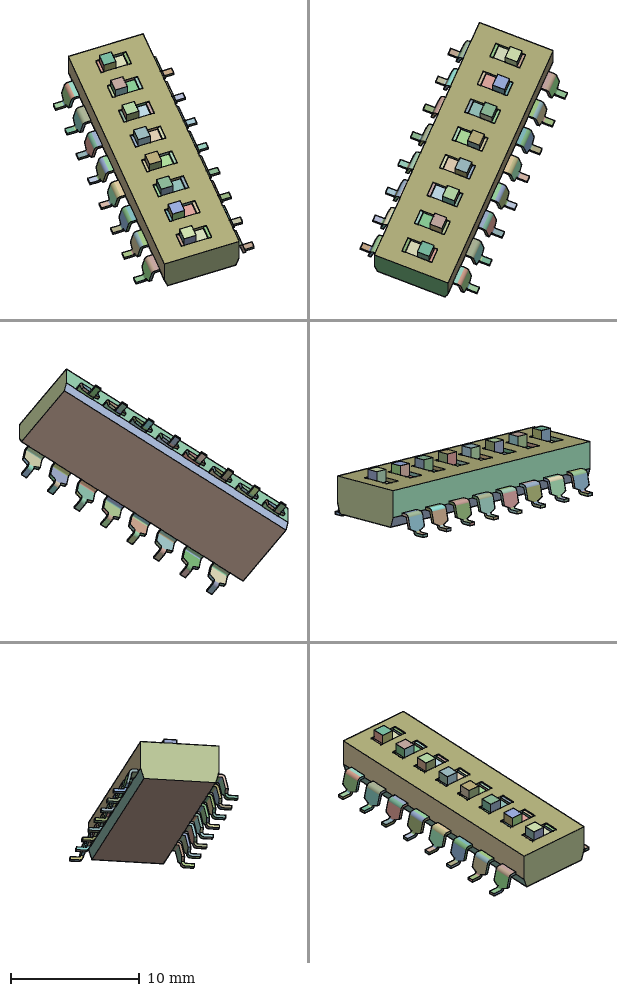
import cadquery as cq
import math


POSITIONS = 8
PITCH = 2.54

LENGTH = 21.26
LEAD_SPAN = 9.8
HEIGHT = 4.4

BODY_WIDTH = 6.2
BODY_BOTTOM = 0.7
BODY_TOP = 3.7
TAPER_TOP = 1.53
TAPER_INSET = 0.27

WINDOW_WIDTH = 1.2
WINDOW_LENGTH = 2.5
LEDGE_DEPTH = 0.1
TRAVEL_DEPTH = 0.3

KNOB_SIZE = 1.0
TRAVEL_LENGTH = 2 * KNOB_SIZE

LEAD_THICKNESS = 0.23
LEAD_TOP = 1.73
LEAD_WIDTH = 1.54
FOOT_WIDTH = 0.5
BEND_INNER = 0.1
BEND_OUTER = BEND_INNER + LEAD_THICKNESS
BEND_START = 3.48
LEG_TILT = 14
NECK_TOP = 0.58
NECK_BOTTOM = 0.34
LEAD_EMBED = 0.2


def position_xs():
    first = -PITCH * (POSITIONS - 1) / 2
    return [first + PITCH * i for i in range(POSITIONS)]


def make_housing():
    """Block whose long sides lean inward below TAPER_TOP."""
    half = BODY_WIDTH / 2
    bottom_half = half - TAPER_INSET
    return (
        cq.Workplane("YZ")
        .moveTo(-bottom_half, BODY_BOTTOM)
        .lineTo(bottom_half, BODY_BOTTOM)
        .lineTo(half, TAPER_TOP)
        .lineTo(half, BODY_TOP)
        .lineTo(-half, BODY_TOP)
        .lineTo(-half, TAPER_TOP)
        .close()
        .extrude(LENGTH / 2, both=True)
    )


def make_pocket(x, length, depth):
    """Cutter for a rectangular pocket in the housing top."""
    return (
        cq.Workplane("XY", origin=(x, 0, BODY_TOP - depth))
        .rect(WINDOW_WIDTH, length)
        .extrude(depth)
    )


def make_knob(x):
    """Square knob rising from the floor of the travel pocket."""
    floor = BODY_TOP - TRAVEL_DEPTH
    return (
        cq.Workplane("XY", origin=(x, -KNOB_SIZE / 2, floor))
        .rect(KNOB_SIZE, KNOB_SIZE)
        .extrude(HEIGHT - floor)
    )


def bend_point(center, radius, degrees):
    """Point on a bend, measured from the outward direction toward +Z."""
    angle = math.radians(degrees)
    return (
        center[0] + radius * math.cos(angle),
        center[1] + radius * math.sin(angle),
    )


def make_lead_strip():
    """Full-width bent strip on the +Y side, centred on X = 0."""
    root = BODY_WIDTH / 2 - LEAD_EMBED
    toe = LEAD_SPAN / 2
    tilt = math.radians(LEG_TILT)

    shoulder = (BEND_START, LEAD_TOP - BEND_OUTER)
    drop = shoulder[1] - BEND_OUTER
    reach = (BEND_OUTER + BEND_INNER + drop * math.sin(tilt)) / math.cos(tilt)
    heel = (BEND_START + reach, BEND_OUTER)

    up, down = 90, 270
    leg_out, leg_back = LEG_TILT, LEG_TILT + 180
    over = (up, (up + leg_out) / 2, leg_out)
    under = (leg_back, (leg_back + down) / 2, down)
    shoulder_out = [bend_point(shoulder, BEND_OUTER, a) for a in over]
    shoulder_in = [bend_point(shoulder, BEND_INNER, a) for a in over]
    heel_in = [bend_point(heel, BEND_INNER, a) for a in under]
    heel_out = [bend_point(heel, BEND_OUTER, a) for a in under]

    return (
        cq.Workplane("YZ")
        .moveTo(root, LEAD_TOP)
        .lineTo(*shoulder_out[0])
        .threePointArc(shoulder_out[1], shoulder_out[2])
        .lineTo(*heel_in[0])
        .threePointArc(heel_in[1], heel_in[2])
        .lineTo(toe, LEAD_THICKNESS)
        .lineTo(toe, 0)
        .lineTo(*heel_out[2])
        .threePointArc(heel_out[1], heel_out[0])
        .lineTo(*shoulder_in[2])
        .threePointArc(shoulder_in[1], shoulder_in[0])
        .lineTo(root, LEAD_TOP - LEAD_THICKNESS)
        .close()
        .extrude(LEAD_WIDTH / 2, both=True)
    )


def make_lead():
    """Bent strip narrowed to a slim foot below the neck."""
    half = LEAD_WIDTH / 2
    foot_half = FOOT_WIDTH / 2
    silhouette = (
        cq.Workplane("XZ")
        .moveTo(-half, LEAD_TOP)
        .lineTo(half, LEAD_TOP)
        .lineTo(half, NECK_TOP)
        .lineTo(foot_half, NECK_BOTTOM)
        .lineTo(foot_half, 0)
        .lineTo(-foot_half, 0)
        .lineTo(-foot_half, NECK_BOTTOM)
        .lineTo(-half, NECK_TOP)
        .close()
        .extrude(-LEAD_SPAN / 2)
    )
    return make_lead_strip().intersect(silhouette)


result = make_housing()
back_lead = make_lead()
front_lead = back_lead.mirror("XZ")

for x in position_xs():
    result = result.cut(make_pocket(x, WINDOW_LENGTH, LEDGE_DEPTH))
    result = result.cut(make_pocket(x, TRAVEL_LENGTH, TRAVEL_DEPTH))
    result = result.union(make_knob(x))
    result = result.union(back_lead.translate((x, 0, 0)))
    result = result.union(front_lead.translate((x, 0, 0)))